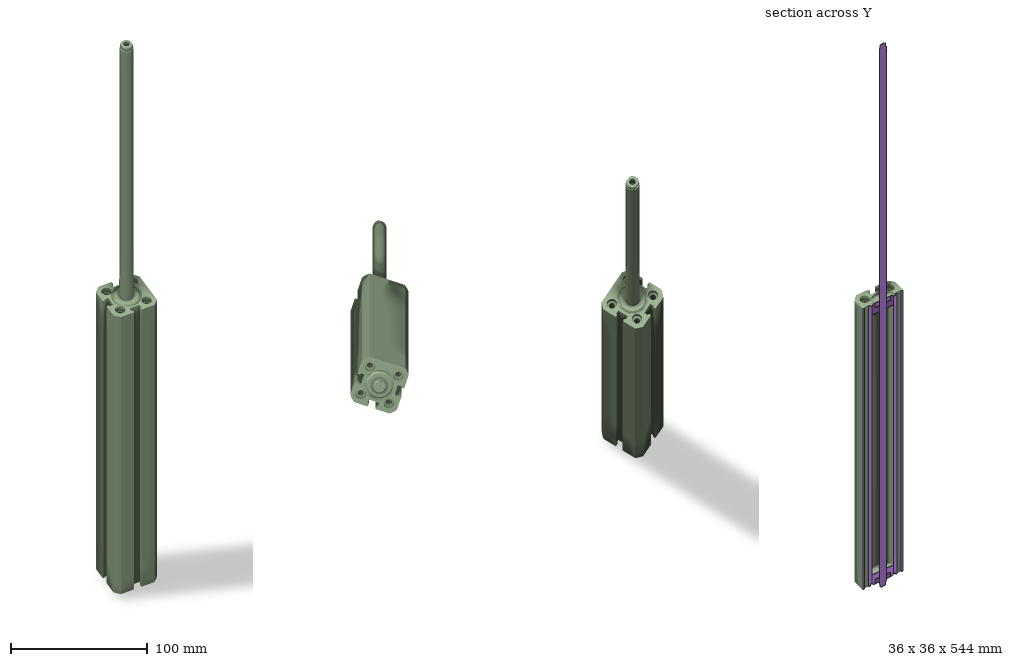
import cadquery as cq
import math

BODY_SIDE = 36.0
BODY_LENGTH = 282.0
BODY_START = 6.0
BODY_END = BODY_START + BODY_LENGTH
CORNER_DIAMETER = 45.0

BORE_DIAMETER = 20.0
RECESS_DIAMETER = 23.0
RECESS_DEPTH = 1.5

SLOT_MOUTH = 6.0
SLOT_WIDTH = 8.0
SLOT_LIP = 2.05
SLOT_DEPTH = 5.15
SLOT_TURNS = (-90, 0, 90)

HOLE_SPACING = 22.0
HOLE_DIAMETER = 4.5
COUNTERBORE_DIAMETER = 7.5
COUNTERBORE_DEPTH = 4.5

ROD_LENGTH = 544.0
ROD_RADIUS = 5.0
TIP_RADIUS = 4.6
TIP_LENGTH = 4.0
TIP_CHAMFER = 0.5
FLAT_DISTANCE = 4.1

DRILL_RADIUS = 2.45
DRILL_DEPTH = 10.0
DRILL_POINT_ANGLE = 118.0

CAP_LENGTH = 11.0
CAP_CHAMFER = 1.2
WIPER_RADIUS = 7.5
WIPER_LENGTH = 4.5


def cylinder(radius, start, length):
    return cq.Workplane("XY").workplane(offset=start).circle(radius).extrude(length)


def housing_outline():
    block = cq.Workplane("XY").workplane(offset=BODY_START).rect(BODY_SIDE, BODY_SIDE).extrude(BODY_LENGTH)
    return block.intersect(cylinder(CORNER_DIAMETER / 2, BODY_START, BODY_LENGTH))


def sensor_slot(turn):
    """T-shaped channel along the whole -Y face, turned about the Z axis."""
    face = -BODY_SIDE / 2
    half_mouth = SLOT_MOUTH / 2
    half_width = SLOT_WIDTH / 2
    outline = [
        (-half_mouth, face),
        (half_mouth, face),
        (half_mouth, face + SLOT_LIP),
        (half_width, face + SLOT_LIP),
        (half_width, face + SLOT_DEPTH),
        (-half_width, face + SLOT_DEPTH),
        (-half_width, face + SLOT_LIP),
        (-half_mouth, face + SLOT_LIP),
    ]
    slot = cq.Workplane("XY").workplane(offset=BODY_START).polyline(outline).close().extrude(BODY_LENGTH)
    return slot.rotate((0, 0, 0), (0, 0, 1), turn)


def corner_cylinders(diameter, start, length):
    corners = cq.Workplane("XY").workplane(offset=start).rect(HOLE_SPACING, HOLE_SPACING, forConstruction=True)
    return corners.vertices().circle(diameter / 2).extrude(length)


def make_housing():
    housing = housing_outline().cut(cylinder(BORE_DIAMETER / 2, BODY_START, BODY_LENGTH))
    for recess_start in (BODY_START, BODY_END - RECESS_DEPTH):
        housing = housing.cut(cylinder(RECESS_DIAMETER / 2, recess_start, RECESS_DEPTH))
    for turn in SLOT_TURNS:
        housing = housing.cut(sensor_slot(turn))
    housing = housing.cut(corner_cylinders(HOLE_DIAMETER, BODY_START, BODY_LENGTH))
    for counterbore_start in (BODY_START, BODY_END - COUNTERBORE_DEPTH):
        housing = housing.cut(corner_cylinders(COUNTERBORE_DIAMETER, counterbore_start, COUNTERBORE_DEPTH))
    return housing


def drilled_hole():
    """Blind hole from the top of the rod, ending in a drill point."""
    bottom = ROD_LENGTH - DRILL_DEPTH
    point_depth = DRILL_RADIUS / math.tan(math.radians(DRILL_POINT_ANGLE / 2))
    half_section = [
        (0, bottom - point_depth),
        (DRILL_RADIUS, bottom),
        (DRILL_RADIUS, ROD_LENGTH),
        (0, ROD_LENGTH),
    ]
    return cq.Workplane("XZ").polyline(half_section).close().revolve(360, (0, 0), (0, 1))


def rod_blank():
    """Turned shape of the rod: shank, stepped tips and chamfered ends."""
    half_section = [
        (0, 0),
        (TIP_RADIUS - TIP_CHAMFER, 0),
        (TIP_RADIUS, TIP_CHAMFER),
        (TIP_RADIUS, TIP_LENGTH),
        (ROD_RADIUS, TIP_LENGTH),
        (ROD_RADIUS, ROD_LENGTH - TIP_LENGTH),
        (TIP_RADIUS, ROD_LENGTH - TIP_LENGTH),
        (TIP_RADIUS, ROD_LENGTH - TIP_CHAMFER),
        (TIP_RADIUS - TIP_CHAMFER, ROD_LENGTH),
        (0, ROD_LENGTH),
    ]
    return cq.Workplane("XZ").polyline(half_section).close().revolve(360, (0, 0), (0, 1))


def wrench_flat_waste(tip_start, side):
    """Block of material beyond the wrench flat on the -Y (side -1) or +Y (side 1) side of a tip."""
    block_size = 2 * ROD_RADIUS
    block_center = side * (FLAT_DISTANCE + block_size / 2)
    block = cq.Workplane("XY", origin=(0, block_center, tip_start)).rect(block_size, block_size)
    return block.extrude(TIP_LENGTH)


def make_rod():
    rod = rod_blank().cut(drilled_hole())
    for tip_start in (0, ROD_LENGTH - TIP_LENGTH):
        for side in (-1, 1):
            rod = rod.cut(wrench_flat_waste(tip_start, side))
    return rod


def make_cap():
    """Bearing cap at the upper end, chamfered outside and counterbored for its wiper."""
    cap = cylinder(BORE_DIAMETER / 2, BODY_END - CAP_LENGTH, CAP_LENGTH)
    cap = cap.faces(">Z").chamfer(CAP_CHAMFER)
    cap = cap.cut(cylinder(ROD_RADIUS, BODY_END - CAP_LENGTH, CAP_LENGTH))
    return cap.cut(cylinder(WIPER_RADIUS, BODY_END - WIPER_LENGTH, WIPER_LENGTH))


def make_wiper():
    wiper = cylinder(WIPER_RADIUS, BODY_END - WIPER_LENGTH, WIPER_LENGTH)
    return wiper.cut(cylinder(ROD_RADIUS, BODY_END - WIPER_LENGTH, WIPER_LENGTH))


def at_both_ends(body):
    """The body and its mirror image at the other end of the housing."""
    middle = (BODY_START + BODY_END) / 2
    return [body, body.mirror("XY", (0, 0, middle))]


housing = make_housing()
rod = make_rod()
caps = at_both_ends(make_cap())
wipers = at_both_ends(make_wiper())

result = cq.Compound.makeCompound([body.val() for body in (housing, rod, *caps, *wipers)])